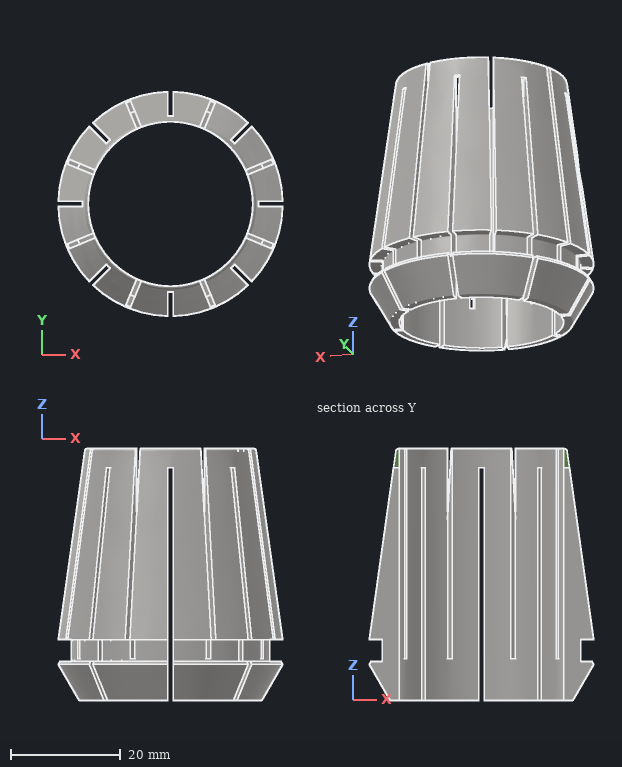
import cadquery as cq
import math

height = 46.0
max_radius = 41.0 / 2
bore_radius = 30.0 / 2

nose_half_angle = 30.0
nose_rim_z = 6.6
nose_top_z = 7.15
rim_bevel = 0.3
nose_bottom_radius = max_radius - nose_rim_z * math.tan(math.radians(nose_half_angle))

groove_radius = 36.25 / 2
groove_top_z = 11.15

taper_half_angle = 8.0
taper_slope = math.tan(math.radians(taper_half_angle))
taper_top_radius = max_radius - (height - groove_top_z) * taper_slope
top_edge_rounding = 0.55

corner_rounding = 0.2

selection_margin = 0.05

slots_per_set = 8
slot_pitch = 360.0 / slots_per_set
slot_width = 0.9
slot_reach = max_radius + 0.45
lower_slot_top_z = 42.45
upper_slot_floor_z = 7.6


def round_rim(body, rim_radius, rim_z, rounding):
    """Round the circular edge that has the given radius and height."""
    reach = rim_radius + selection_margin
    low_corner = (-reach, -reach, rim_z - selection_margin)
    high_corner = (reach, reach, rim_z + selection_margin)
    enclosing_box = cq.selectors.BoxSelector(low_corner, high_corner, boundingbox=True)
    rim = body.edges(enclosing_box).edges(cq.selectors.RadiusNthSelector(-1))
    return rim.fillet(rounding)


def make_body():
    """Revolve the collet wall around Z."""
    profile = [
        (bore_radius, 0),
        (nose_bottom_radius, 0),
        (max_radius, nose_rim_z),
        (max_radius - rim_bevel, nose_top_z),
        (groove_radius, nose_top_z),
        (groove_radius, groove_top_z),
        (max_radius, groove_top_z),
        (taper_top_radius, height),
        (bore_radius, height),
    ]
    body = cq.Workplane("XZ").polyline(profile).close().revolve(360, (0, 0, 0), (0, 1, 0))
    body = round_rim(body, taper_top_radius, height, top_edge_rounding)
    body = round_rim(body, groove_radius, groove_top_z, corner_rounding)
    body = round_rim(body, groove_radius, nose_top_z, corner_rounding)
    return round_rim(body, nose_bottom_radius, 0, corner_rounding)


def make_slots(bottom_z, top_z, first_angle):
    """Radial slot cutters between two heights, evenly spaced from first_angle."""
    cutter = (
        cq.Workplane("XY")
        .workplane(offset=bottom_z)
        .center(slot_reach / 2, 0)
        .rect(slot_reach, slot_width)
        .extrude(top_z - bottom_z)
    )
    slots = cq.Workplane("XY")
    for index in range(slots_per_set):
        angle = first_angle + index * slot_pitch
        slots = slots.add(cutter.rotate((0, 0, 0), (0, 0, 1), angle))
    return slots.combine()


lower_slots = make_slots(0, lower_slot_top_z, 0)
upper_slots = make_slots(upper_slot_floor_z, height, slot_pitch / 2)

result = make_body().cut(lower_slots).cut(upper_slots)